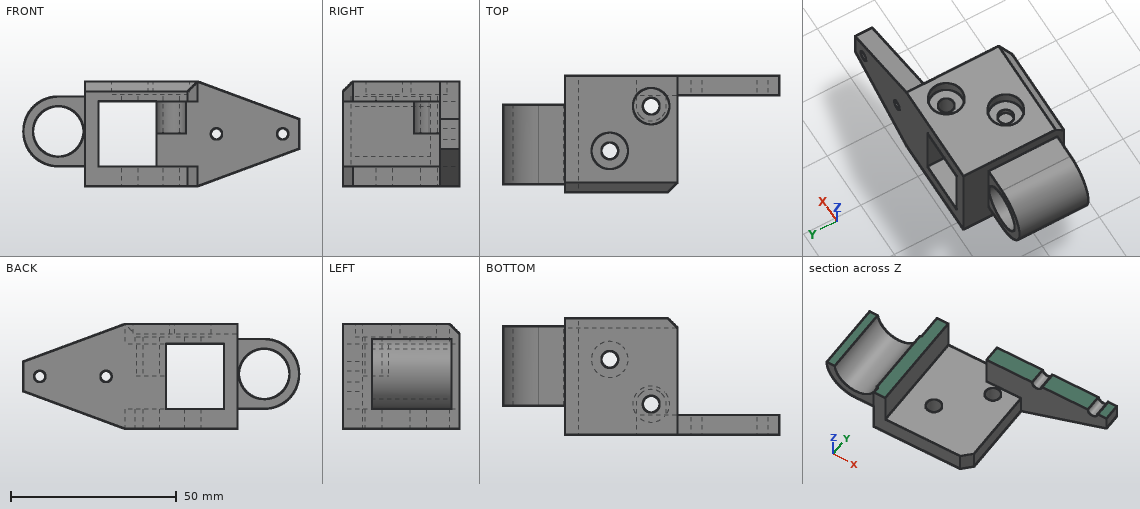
import cadquery as cq

body_left = 18.6
body_length = 34.05
body_depth = 35.2
body_height = 31.6
plate = 6.0
web = 4.2
chamfer = 3.0
body_right = body_left + body_length
mid_z = body_height / 2

arm_end = 83.25
arm_tip_height = 9.0
arm_hole_diameter = 3.3
arm_hole_positions = [58.3, 78.25]

barrel_radius = 10.6
barrel_bore_diameter = 15.15
barrel_front = 2.4
barrel_width = 24.1
barrel_z = plate + barrel_radius

bolt_diameter = 5.0
counterbore_diameter = 11.0
counterbore_depth = 4.0
rear_bolt = (44.6, 26.0)
front_bolt = (32.1, 12.5)
boss_radius = 4.5
boss_height = 9.65

rear_wall_left = rear_bolt[0] - boss_radius


def box(x, y, z, length, depth, height):
    """Box placed by its lowest corner."""
    return cq.Workplane("XY").box(length, depth, height, centered=False).translate((x, y, z))


def cylinder_along_y(x, z, diameter, front, width):
    """Cylinder running toward +Y from its front face."""
    return (
        cq.Workplane("XZ", origin=(x, front, z))
        .circle(diameter / 2)
        .extrude(-width)
    )


def clevis_body():
    """Two plates joined by a left web, with bevelled front edges."""
    body = box(body_left, 0, 0, body_length, body_depth, body_height)
    body = body.edges("|Z and >X and <Y").chamfer(chamfer)
    body = body.faces(">Z").edges("<Y").chamfer(chamfer)
    opening = box(
        body_left + web, 0, plate, body_length - web, body_depth, body_height - 2 * plate
    )
    return body.cut(opening)


def rear_wall_and_arm():
    """Rear wall between the plates, tapering to the arm tip."""
    outline = [
        (rear_wall_left, 0),
        (body_right, 0),
        (arm_end, mid_z - arm_tip_height / 2),
        (arm_end, mid_z + arm_tip_height / 2),
        (body_right, body_height),
        (rear_wall_left, body_height),
    ]
    wall = cq.Workplane("XZ", origin=(0, body_depth, 0)).polyline(outline).close().extrude(plate)
    for x in arm_hole_positions:
        wall = wall.cut(
            cylinder_along_y(x, mid_z, arm_hole_diameter, body_depth - plate, plate)
        )
    return wall


def barrel():
    """Pivot barrel with a straight shank reaching the web."""
    round_end = cylinder_along_y(
        barrel_radius, barrel_z, 2 * barrel_radius, barrel_front, barrel_width
    )
    shank = box(
        barrel_radius, barrel_front, plate,
        body_left - barrel_radius, barrel_width, 2 * barrel_radius,
    )
    bore = cylinder_along_y(
        barrel_radius, barrel_z, barrel_bore_diameter, barrel_front, barrel_width
    )
    return round_end.union(shank).cut(bore)


def boss():
    """Boss under the top plate: round front, straight flanks running into the rear wall."""
    boss_bottom = body_height - plate - boss_height
    round_front = (
        cq.Workplane("XY", origin=(*rear_bolt, boss_bottom))
        .circle(boss_radius)
        .extrude(boss_height)
    )
    flanks = box(
        rear_wall_left, rear_bolt[1], boss_bottom,
        2 * boss_radius, body_depth - plate - rear_bolt[1], boss_height,
    )
    return round_front.union(flanks)


def bolt_cutters():
    """Through holes with counterbores in the top plate."""
    centers = [rear_bolt, front_bolt]
    holes = cq.Workplane("XY").pushPoints(centers).circle(bolt_diameter / 2).extrude(body_height)
    counterbores = (
        cq.Workplane("XY", origin=(0, 0, body_height - counterbore_depth))
        .pushPoints(centers)
        .circle(counterbore_diameter / 2)
        .extrude(counterbore_depth)
    )
    return holes.union(counterbores)


result = (
    clevis_body()
    .union(rear_wall_and_arm())
    .union(barrel())
    .union(boss())
    .cut(bolt_cutters())
)